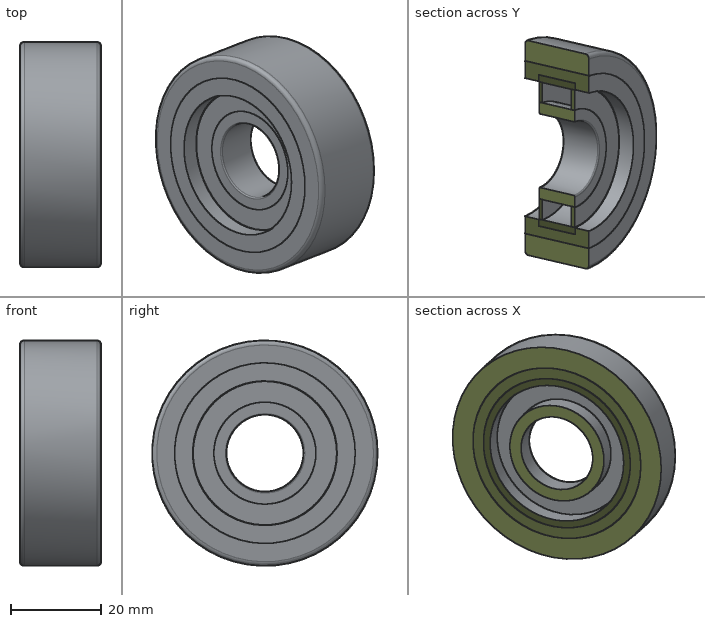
import cadquery as cq

roller_width = 18.0
tyre_radius = 25.0
tyre_edge_round = 1.0
hub_radius = 20.0
hub_opening_radius = 16.0

recess_depth = 4.0
bearing_width = roller_width - 2 * recess_depth
bearing_radius = 17.5
bore_radius = 8.5
bore_edge_round = 0.3
inner_ring_radius = 11.3
shield_radius = 15.9
shield_thickness = 1.0


def ring(outer_radius, inner_radius, width, center_x=0.0):
    """Plain ring about the X axis, centred at center_x."""
    return (
        cq.Workplane("YZ", origin=(center_x - width / 2, 0, 0))
        .circle(outer_radius)
        .circle(inner_radius)
        .extrude(width)
    )


def make_tyre():
    """Outer tyre with both rim edges rounded."""
    tyre = ring(tyre_radius, hub_radius, roller_width)
    rim_edges = cq.selectors.RadiusNthSelector(-1)
    return tyre.edges("%CIRCLE").edges(rim_edges).fillet(tyre_edge_round)


def make_hub():
    """Hub whose wider middle pocket leaves a lip on each side of the bearing."""
    hub = ring(hub_radius, hub_opening_radius, roller_width)
    pocket = ring(bearing_radius, bore_radius, bearing_width)
    return hub.cut(pocket)


def make_outer_ring():
    """Bearing outer ring; its inner edge shows just inside the hub opening."""
    return ring(bearing_radius, shield_radius, bearing_width)


def make_inner_ring():
    """Bearing inner ring with both bore edges rounded."""
    inner_ring = ring(inner_ring_radius, bore_radius, bearing_width)
    bore_edges = cq.selectors.RadiusNthSelector(0)
    return inner_ring.edges("%CIRCLE").edges(bore_edges).fillet(bore_edge_round)


def make_shield(side):
    """Shield flush with one bearing face; side is -1 or 1 along X."""
    center_x = side * (bearing_width - shield_thickness) / 2
    return ring(shield_radius, inner_ring_radius, shield_thickness, center_x)


tyre = make_tyre()
hub = make_hub()
outer_ring = make_outer_ring()
inner_ring = make_inner_ring()
shields = [make_shield(side) for side in (-1, 1)]

result = cq.Compound.makeCompound(
    [
        tyre.val(),
        hub.val(),
        outer_ring.val(),
        inner_ring.val(),
        *[shield.val() for shield in shields],
    ]
)